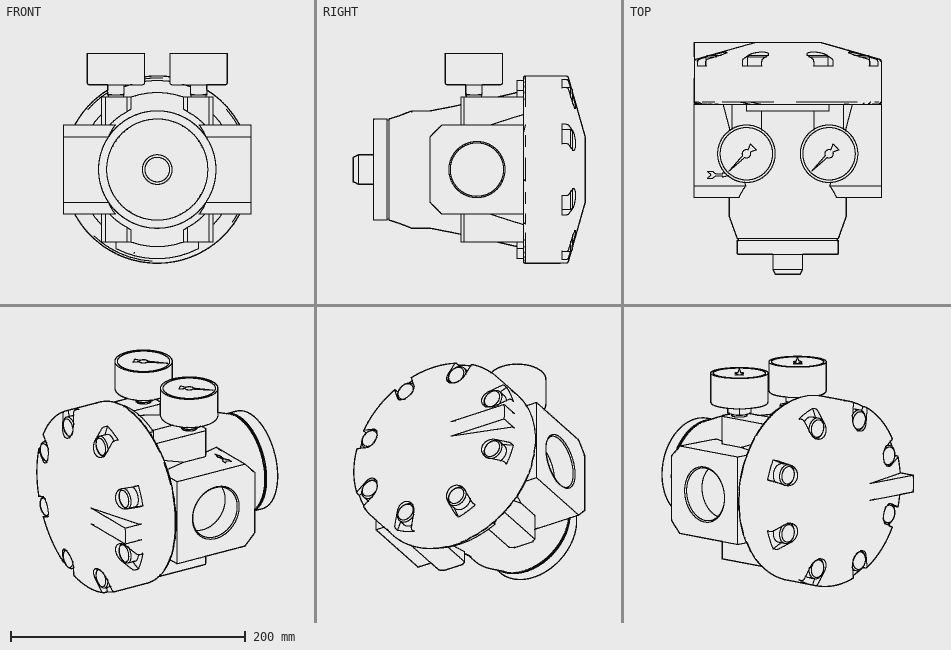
import cadquery as cq
import math


overall_length = 198
overall_height = 179.0

cover_radius = 80.0
cover_depth = 52.9
cover_edge_y = 38.0
cover_flat_radius = 28.0
cover_front_round = 1.8
cover_rear_round = 2.5

screw_count = 8
screw_circle_radius = 66.0
screw_head_radius = 9.0
pocket_floor_y = 32.9
screw_head_y = 41.8
screw_head_chamfer = 1.4

tab_width = 14.7
tab_start_y = 36.0

pad_thickness = 5.5
pad_half_width = 35.2
pad_radius = 76.0

neck_base_radius = 67.0
bonnet_radius = 50.0
bonnet_start = 79.5
bonnet_taper_start = 95.2
bonnet_taper_end = 114.6
bonnet_taper_round = 2.0
groove_radius = 42.4
groove_end = 116.2
ring_radius = 43.2
ring_end = 128.0
ring_round = 0.8
shaft_radius = 12.7
shaft_end = overall_length - cover_depth
shaft_chamfer_length = 4.4
shaft_chamfer_width = 2.2

block_half_length = cover_radius
block_half_height = 38.0
block_chamfer = 10.0
port_distance = 39.6
port_radius = 22.8
port_depth = 19.8
port_chamfer = 1.2

rib_inner_x = 22.2
rib_outer_x = 47.7
rib_half_height = 62.0
rib_depth = 53.3
rib_chamfer_x = 3.5
rib_chamfer_y = 2.8

gauge_x = 35.2
gauge_distance = 42.2
gauge_radius = 24.5
gauge_top_z = overall_height - cover_radius
gauge_bottom_z = 72.3
gauge_bottom_round = 2.0
dial_radius = 22.4
dial_recess = 0.2
gauge_square = 14.0
gauge_square_z = 63.5
gauge_square_chamfer = 0.8
gauge_neck_radius = 6.5
pointer_thickness = 0.1
pointer_tip = 20.8
needle_half = 1.4
hub_radius = 3.5
tail_length = 8.3
tail_neck_half = 1.4
tail_end_half = 3.5
pointer_angle = 225

arrow_start_x = -68.5
arrow_y = -60.2
arrow_height = 0.1
arrow_length = 20.4
arrow_tail_notch = 3.2
arrow_tail_half = 3.0
arrow_tail_end = 4.4
arrow_shank_start = 7.1
arrow_shank_half = 0.8
arrow_head_start = 13.0
arrow_head_half = 1.8


def revolved(profile):
    """Turn a closed (radius, y) outline about the Y axis."""
    return cq.Workplane("XY").polyline(profile).close().revolve(360, (0, 0), (0, 1))


def y_disc(radius, start_y, end_y):
    return cq.Workplane("XZ", origin=(0, start_y, 0)).circle(radius).extrude(start_y - end_y)


def box_between(x0, x1, y0, y1, z0, z1):
    return cq.Workplane("XY").box(x1 - x0, y1 - y0, z1 - z0, centered=False).translate((x0, y0, z0))


def round_edge_at(solid, y, radius):
    """Fillet the circular edge whose centre lies on the Y axis at the given place."""
    return solid.edges(cq.selectors.NearestToPointSelector((0, y, 0))).fillet(radius)


def make_cover():
    cover = revolved([
        (0, 0), (cover_radius, 0), (cover_radius, cover_edge_y),
        (cover_flat_radius, cover_depth), (0, cover_depth),
    ])
    cover = round_edge_at(cover, 0, cover_front_round)
    cover = round_edge_at(cover, cover_edge_y, cover_rear_round)

    pocket = y_disc(screw_head_radius, pocket_floor_y, cover_depth).translate((screw_circle_radius, 0, 0))
    pocket = pocket.union(box_between(
        screw_circle_radius, cover_radius + screw_head_radius,
        pocket_floor_y, cover_depth,
        -screw_head_radius, screw_head_radius,
    ))
    screw = y_disc(screw_head_radius, pocket_floor_y, screw_head_y)
    screw = screw.faces(">Y").chamfer(screw_head_chamfer).translate((screw_circle_radius, 0, 0))
    pitch = 360 / screw_count
    for i in range(screw_count):
        angle = (i + 0.5) * pitch
        cover = cover.cut(pocket.rotate((0, 0, 0), (0, 1, 0), angle))
        cover = cover.union(screw.rotate((0, 0, 0), (0, 1, 0), angle))

    tab = box_between(-cover_radius, 0, tab_start_y, cover_depth, -tab_width / 2, tab_width / 2)
    return cover.union(tab.intersect(y_disc(cover_radius, tab_start_y, cover_depth)))


def make_pads():
    disc = y_disc(pad_radius, -pad_thickness, 0)
    strip = box_between(
        -pad_half_width, pad_half_width, -pad_thickness, 0, -pad_radius, pad_radius,
    )
    return disc.intersect(strip)


def make_neck_and_bonnet():
    turned = revolved([
        (0, 0), (neck_base_radius, 0), (bonnet_radius, -bonnet_start),
        (bonnet_radius, -bonnet_taper_start), (ring_radius, -bonnet_taper_end),
        (groove_radius, -bonnet_taper_end), (groove_radius, -groove_end),
        (ring_radius, -groove_end), (ring_radius, -ring_end), (0, -ring_end),
    ])
    turned = round_edge_at(turned, -bonnet_taper_start, bonnet_taper_round)
    return round_edge_at(turned, -ring_end, ring_round)


def make_shaft():
    return revolved([
        (0, -ring_end), (shaft_radius, -ring_end), (shaft_radius, shaft_chamfer_length - shaft_end),
        (shaft_radius - shaft_chamfer_width, -shaft_end), (0, -shaft_end),
    ])


def make_block():
    block = box_between(
        -block_half_length, block_half_length, -bonnet_start, 0, -block_half_height, block_half_height,
    )
    return block.faces("<Y").edges("|X").chamfer(block_chamfer)


def make_port(side):
    """Blind port with a chamfered mouth, sunk into the end of the block on the given side."""
    mouth_radius = port_radius + port_chamfer
    port = (
        cq.Workplane("XY")
        .polyline([
            (0, 0), (0, mouth_radius), (port_chamfer, port_radius),
            (port_depth, port_radius), (port_depth, 0),
        ])
        .close()
        .revolve(360, (0, 0), (1, 0))
        .translate((-block_half_length, -port_distance, 0))
    )
    return port if side < 0 else port.mirror("YZ")


def make_rib(side):
    rib = (
        cq.Workplane("XY", origin=(0, 0, -rib_half_height))
        .polyline([
            (rib_inner_x, 0), (rib_inner_x, rib_chamfer_y - rib_depth),
            (rib_inner_x + rib_chamfer_x, -rib_depth), (rib_outer_x - rib_chamfer_x, -rib_depth),
            (rib_outer_x, rib_chamfer_y - rib_depth), (rib_outer_x, 0),
        ])
        .close()
        .extrude(2 * rib_half_height)
    )
    return rib if side > 0 else rib.mirror("YZ")


def make_arrow():
    """Flow arrow pointing toward +X, its outline mirrored about its own centre line."""
    half_outline = [
        (arrow_tail_notch, 0), (0, arrow_tail_half), (arrow_tail_end, arrow_tail_half),
        (arrow_shank_start, arrow_shank_half), (arrow_head_start, arrow_shank_half),
        (arrow_head_start, arrow_head_half), (arrow_length, 0),
    ]
    return (
        cq.Workplane("XY", origin=(arrow_start_x, arrow_y, block_half_height))
        .polyline(half_outline)
        .mirrorX()
        .extrude(arrow_height)
    )


def make_housing():
    housing = make_neck_and_bonnet().union(make_shaft()).union(make_block()).union(make_pads())
    for side in (-1, 1):
        housing = housing.union(make_rib(side))
    housing = housing.union(make_cover())
    for side in (-1, 1):
        housing = housing.cut(make_port(side))
    return housing.union(make_arrow())


def make_pointer():
    """Dial pointer along +X with a round hub at the origin and a flared tail behind it."""
    needle = cq.Workplane("XY").polyline([(0, -needle_half), (pointer_tip, 0), (0, needle_half)]).close()
    tail = cq.Workplane("XY").polyline([
        (0, -tail_neck_half), (-hub_radius, -tail_neck_half), (-tail_length, -tail_end_half),
        (-tail_length, tail_end_half), (-hub_radius, tail_neck_half), (0, tail_neck_half),
    ]).close()
    hub = cq.Workplane("XY").circle(hub_radius).extrude(pointer_thickness)
    return hub.union(needle.extrude(pointer_thickness)).union(tail.extrude(pointer_thickness))


def make_gauge(x):
    """Gauge standing on top of a rib, dial up."""
    case = cq.Workplane("XY", origin=(0, 0, gauge_bottom_z)).circle(gauge_radius)
    case = case.extrude(gauge_top_z - gauge_bottom_z).faces("<Z").edges().fillet(gauge_bottom_round)
    dial = cq.Workplane("XY", origin=(0, 0, gauge_top_z - dial_recess)).circle(dial_radius)
    case = case.cut(dial.extrude(dial_recess))
    pointer = make_pointer().rotate((0, 0, 0), (0, 0, 1), pointer_angle)
    case = case.union(pointer.translate((0, 0, gauge_top_z - dial_recess)))

    square_height = gauge_bottom_z - gauge_square_z
    corner_radius = gauge_square / math.sqrt(2)
    square = cq.Workplane("XY", origin=(0, 0, gauge_square_z)).rect(gauge_square, gauge_square)
    square = square.extrude(square_height)
    cone = (
        cq.Workplane("XZ")
        .polyline([
            (0, gauge_square_z), (gauge_square / 2, gauge_square_z),
            (corner_radius, gauge_square_z + gauge_square_chamfer),
            (corner_radius, gauge_bottom_z), (0, gauge_bottom_z),
        ])
        .close()
        .revolve(360, (0, 0), (0, 1))
    )
    neck = cq.Workplane("XY", origin=(0, 0, rib_half_height)).circle(gauge_neck_radius)
    neck = neck.extrude(gauge_square_z - rib_half_height)
    gauge = case.union(square.intersect(cone)).union(neck)
    return gauge.translate((x, -gauge_distance, 0))


housing = make_housing()
gauges = [make_gauge(side * gauge_x) for side in (-1, 1)]

result = cq.Compound.makeCompound([
    housing.solids().val(),
    *(gauge.solids().val() for gauge in gauges),
])